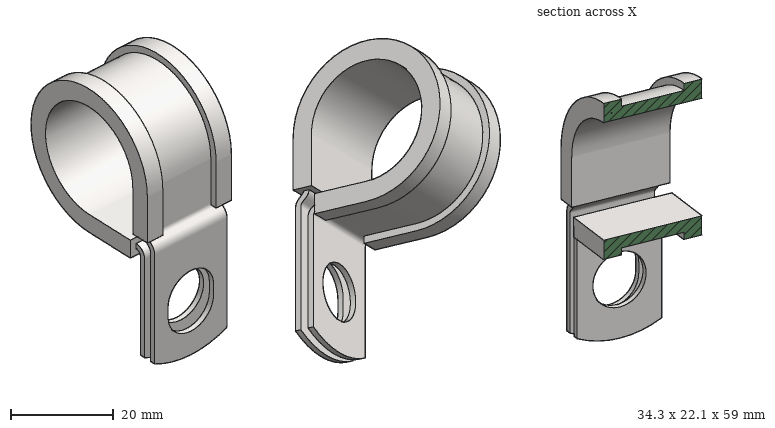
import cadquery as cq
import math

total_height = 59.05
outer_radius = 16.95
bore_radius = 12.7
cushion_width = 22.1
band_outer_radius = 15.4
band_thickness = 1.25
band_width = 19.0
groove_width = 14.0
lower_end_x = 12.0
upper_end_z = -10.85
bend_inner_radius = 1.25
jog_angle = math.radians(45)
outer_leg_x = 17.35
jog_bottom_z = -14.05
hole_diameter = 11.9
slot_length = 14.3
hole_z = -29.35
tip_sagitta = 2.2

tip_z = outer_radius - total_height
band_inner_radius = band_outer_radius - band_thickness
bend_outer_radius = bend_inner_radius + band_thickness
half_band = band_width / 2
diagonal = math.sqrt(0.5)


def extrude_centred(profile, width):
    """Extrude an XZ profile symmetrically about Y = 0."""
    return profile.extrude(width / 2, both=True)


def loop(radius_out, radius_in, width):
    """Three-quarter ring with one straight stretch down and one along +X."""
    profile = (
        cq.Workplane("XZ")
        .moveTo(lower_end_x, -radius_out)
        .lineTo(0, -radius_out)
        .threePointArc((-radius_out * diagonal, radius_out * diagonal), (radius_out, 0))
        .lineTo(radius_out, upper_end_z)
        .lineTo(radius_in, upper_end_z)
        .lineTo(radius_in, 0)
        .threePointArc((-radius_in * diagonal, radius_in * diagonal), (0, -radius_in))
        .lineTo(lower_end_x, -radius_in)
        .close()
    )
    return extrude_centred(profile, width)


def inner_leg():
    """Leg that bends down from the horizontal end of the loop."""
    centre_z = -band_inner_radius - bend_outer_radius
    outer_x = lower_end_x + bend_outer_radius
    inner_x = lower_end_x + bend_inner_radius

    def bend_middle(radius):
        return lower_end_x + radius * diagonal, centre_z + radius * diagonal

    profile = (
        cq.Workplane("XZ")
        .moveTo(lower_end_x, -band_inner_radius)
        .threePointArc(bend_middle(bend_outer_radius), (outer_x, centre_z))
        .lineTo(outer_x, tip_z)
        .lineTo(inner_x, tip_z)
        .lineTo(inner_x, centre_z)
        .threePointArc(bend_middle(bend_inner_radius), (lower_end_x, -band_outer_radius))
        .close()
    )
    return extrude_centred(profile, band_width)


def outer_leg():
    """Leg that jogs outward below the vertical end of the loop."""
    inner_x = outer_leg_x - band_thickness
    mean_radius = (bend_inner_radius + bend_outer_radius) / 2
    shift = outer_leg_x - band_outer_radius
    straight_shift = shift - 2 * mean_radius * (1 - math.cos(jog_angle))
    jog_height = 2 * mean_radius * math.sin(jog_angle) + straight_shift / math.tan(jog_angle)
    jog_top_z = jog_bottom_z + jog_height
    upper_centre_x = band_outer_radius + bend_inner_radius
    lower_centre_x = outer_leg_x - bend_outer_radius

    def upper_bend(radius, angle):
        return upper_centre_x - radius * math.cos(angle), jog_top_z - radius * math.sin(angle)

    def lower_bend(radius, angle):
        return lower_centre_x + radius * math.cos(angle), jog_bottom_z + radius * math.sin(angle)

    half_angle = jog_angle / 2
    profile = (
        cq.Workplane("XZ")
        .moveTo(band_outer_radius, jog_top_z)
        .threePointArc(upper_bend(bend_inner_radius, half_angle), upper_bend(bend_inner_radius, jog_angle))
        .lineTo(*lower_bend(bend_outer_radius, jog_angle))
        .threePointArc(lower_bend(bend_outer_radius, half_angle), (outer_leg_x, jog_bottom_z))
        .lineTo(outer_leg_x, tip_z)
        .lineTo(inner_x, tip_z)
        .lineTo(inner_x, jog_bottom_z)
        .threePointArc(lower_bend(bend_inner_radius, half_angle), lower_bend(bend_inner_radius, jog_angle))
        .lineTo(*upper_bend(bend_outer_radius, jog_angle))
        .threePointArc(upper_bend(bend_outer_radius, half_angle), (band_inner_radius, jog_top_z))
        .close()
    )
    return extrude_centred(profile, band_width)


def leg_outline():
    """Block along X with the rounded leg tip."""
    corner_z = tip_z + tip_sagitta
    return (
        cq.Workplane("YZ")
        .moveTo(-half_band, 0)
        .lineTo(-half_band, corner_z)
        .threePointArc((0, tip_z), (half_band, corner_z))
        .lineTo(half_band, 0)
        .close()
        .extrude(outer_leg_x)
    )


cushion = loop(outer_radius, bore_radius, cushion_width)
groove = loop(outer_radius, band_outer_radius, groove_width)
hole_sketch = cq.Workplane("YZ").center(0, hole_z)
bolt_hole = hole_sketch.circle(hole_diameter / 2).extrude(outer_leg_x)
bolt_slot = hole_sketch.slot2D(slot_length, hole_diameter, 90).extrude(outer_leg_x)

inner_tab = inner_leg().intersect(leg_outline()).cut(bolt_hole)
outer_tab = outer_leg().intersect(leg_outline()).cut(bolt_slot)
result = cushion.cut(groove).union(inner_tab).union(outer_tab)